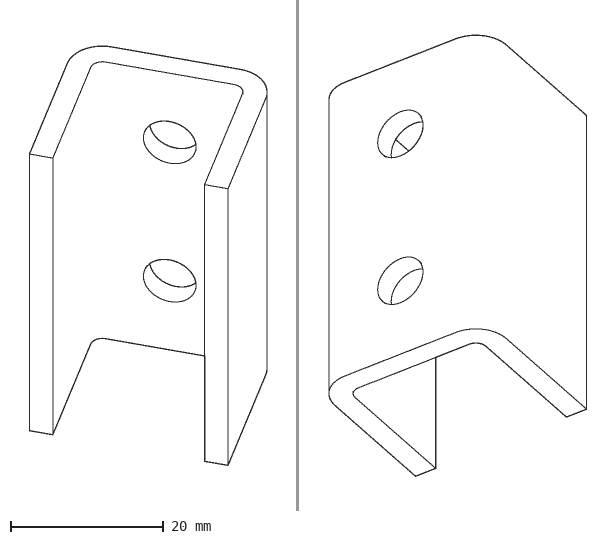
import cadquery as cq

width = 27.0
depth = 23.8
height = 47.6

thickness = 3.2
inner_radius = 1.55
outer_radius = inner_radius + thickness

hole_diameter = 7.15
hole_spacing = height / 2


def rounded_block(block_width, block_depth, radius):
    """Full-height block, open side at Y = 0, with its two rear vertical edges rounded."""
    block = cq.Workplane("XY").box(block_width, block_depth, height, centered=(True, False, True))
    return block.edges("|Z and >Y").fillet(radius)


outside = rounded_block(width, depth, outer_radius)
inside = rounded_block(width - 2 * thickness, depth - thickness, inner_radius)
channel = outside.cut(inside)

holes = (
    cq.Workplane("XZ")
    .rarray(0.5, hole_spacing, 1, 2)
    .circle(hole_diameter / 2)
    .extrude(-depth)
)

result = channel.cut(holes)